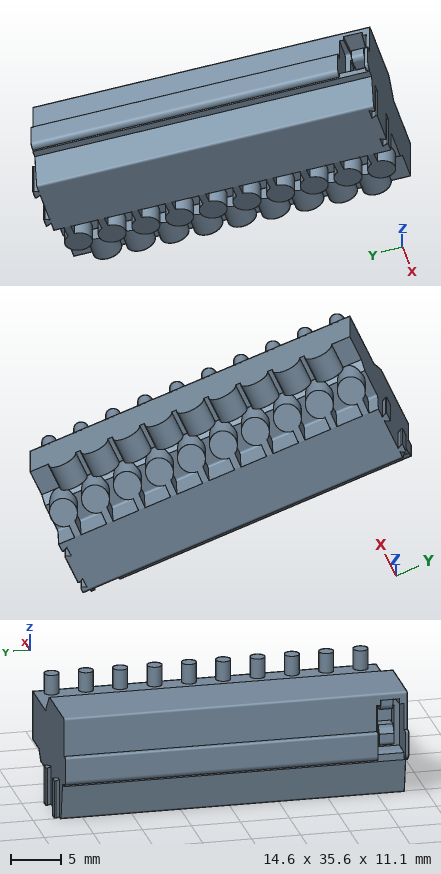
import cadquery as cq


width = 14.6
total_length = 35.58
height = 11.1
rib_height = 0.57
body_length = total_length - rib_height

pole_count = 10
pole_pitch = body_length / pole_count

tower_left = 0.65
slope_top_x = 7.2
slope_bottom_x = 8.9
deck_z = 9.05
shelf_z = 3.95
rail_top = 7.15
rail_bottom = 4.15
skirt_left_top = 1.3
skirt_left_bottom = 2.0
skirt_right = 7.83
skirt_right_top = 8.0
undercut_z = 2.9
undercut_end_x = 11.03
shelf_start_x = 11.85
top_round = 0.2
slope_round = 0.43
rail_top_round = 0.18
rail_bottom_round = 0.55
skirt_round = 0.25

pin_diameter = 1.5

barrel_radius = 1.5
barrel_bottom = 2.28
post_radius = 1.4
post_bottom_z = 1.1
post_x = shelf_start_x - post_radius
web_thickness = 0.7

dovetail_xs = (2.9, 6.65)
rib_tip_width = 0.9
rib_root_width = 0.45
rib_tip_land = 0.15
groove_mouth_width = 0.75
groove_neck_width = 0.55
groove_floor_width = 1.0
groove_depth = 0.6
groove_chamfer = 0.1

window_y = (0.35, 3.13)
window_center_y = sum(window_y) / 2
window_floor_x = 2.67
sill_z = 4.7
sill_break_x = 1.4
sill_back_z = 4.75
window_top = 9.9
window_top_round = 0.3
notch_width = 1.92
notch_top = 10.42
notch_taper = 4.5

slot_width = 1.7
slot_bottom = 6.35
slot_top = 9.05
slot_depth = 1.05
contact_height = 0.43
pad_round = 0.4
tongue_width = 1.28
tongue_bottom = 8.68
tongue_top = 9.95
tongue_round = 0.57
pad_width = 1.5
pad_bottom = 4.95
pad_slope_start = 6.23
pad_slope_end = 6.75
pad_top = 7.08
pad_step = 0.1


def extrude_section(outline, y_start, y_end):
    """Extrude a closed XZ workplane outline from y_start to y_end."""
    return outline.extrude(y_start - y_end).translate((0, y_start, 0))


def section(points):
    """Closed XZ outline through the given points."""
    return cq.Workplane("XZ").polyline(points).close()


def block(x_range, y_range, z_range):
    """Box between the given limits on each axis."""
    size = [high - low for low, high in (x_range, y_range, z_range)]
    return cq.Workplane("XY").box(*size, centered=False).translate((x_range[0], y_range[0], z_range[0]))


def centered_range(middle, size):
    """Limits of a span of the given size about its middle."""
    return (middle - size / 2, middle + size / 2)


def make_body():
    """Main section with the tower, the deck and the tapered skirt."""
    outline = section([
        (tower_left, height),
        (slope_top_x, height),
        (slope_bottom_x, deck_z),
        (width, deck_z),
        (width, shelf_z),
        (shelf_start_x, shelf_z),
        (undercut_end_x, undercut_z),
        (skirt_right_top, undercut_z),
        (skirt_right, 0),
        (skirt_left_bottom, 0),
        (skirt_left_top, shelf_z),
        (tower_left, shelf_z),
    ])
    body = extrude_section(outline, 0, body_length)
    rounds = (
        (tower_left, height, top_round),
        (slope_top_x, height, slope_round),
        (skirt_left_bottom, 0, skirt_round),
        (skirt_right_top, undercut_z, skirt_round),
    )
    for x, z, radius in rounds:
        body = body.edges(cq.NearestToPointSelector((x, body_length / 2, z))).fillet(radius)
    return body


def make_rail():
    """Rounded rail along the left side, cut away at the window."""
    rail = block((0, tower_left), (0, body_length), (rail_bottom, rail_top))
    rail = rail.edges("|Y and <X and >Z").fillet(rail_top_round)
    rail = rail.edges("|Y and <X and <Z").fillet(rail_bottom_round)
    return rail.cut(block((0, tower_left), window_y, (rail_bottom, rail_top)))


def make_pole(y):
    """Deck pin, and the post below it joined to the skirt by a web, for the pole centred on y."""
    pin = (
        cq.Workplane("XY", origin=(width - pin_diameter / 2, y, deck_z))
        .circle(pin_diameter / 2)
        .extrude(height - deck_z)
    )
    post = cq.Workplane("XY", origin=(post_x, y, 0)).circle(post_radius).extrude(shelf_z)
    web = block((skirt_right, post_x), (y, y + web_thickness), (0, undercut_z))
    sloped_end = extrude_section(
        section([
            (skirt_right, 0),
            (shelf_start_x, post_bottom_z),
            (shelf_start_x, deck_z),
            (skirt_right, deck_z),
        ]),
        0,
        body_length,
    )
    return pin.union(post.union(web).intersect(sloped_end))


def make_barrel(y):
    """Half-round boss along X under the shelf, centred on y."""
    barrel_axis_z = barrel_bottom + barrel_radius
    return (
        cq.Workplane("YZ", origin=(shelf_start_x, y, barrel_axis_z))
        .moveTo(-barrel_radius, shelf_z - barrel_axis_z)
        .lineTo(-barrel_radius, 0)
        .threePointArc((0, -barrel_radius), (barrel_radius, 0))
        .lineTo(barrel_radius, shelf_z - barrel_axis_z)
        .close()
        .extrude(width - shelf_start_x)
    )


def make_rib(x):
    """Dovetail rib standing on the far end face of the skirt."""
    root = rib_root_width / 2
    tip = rib_tip_width / 2
    land_y = total_length - rib_tip_land
    right_half = [(root, body_length), (tip, land_y), (tip, total_length)]
    left_half = [(-dx, y) for dx, y in reversed(right_half)]
    return cq.Workplane("XY").polyline(right_half + left_half).close().extrude(shelf_z).translate((x, 0, 0))


def make_groove(x):
    """Dovetail groove with a chamfered mouth in the near end face of the skirt."""
    right_half = [
        (groove_mouth_width / 2, 0),
        (groove_neck_width / 2, groove_chamfer),
        (groove_floor_width / 2, groove_depth),
    ]
    left_half = [(-dx, y) for dx, y in reversed(right_half)]
    return cq.Workplane("XY").polyline(right_half + left_half).close().extrude(shelf_z).translate((x, 0, 0))


def make_window():
    """Window cavity with its sill, raised top notch and contact slot."""
    cavity = extrude_section(
        section([
            (tower_left, sill_z),
            (sill_break_x, sill_back_z),
            (window_floor_x, sill_back_z),
            (window_floor_x, window_top),
            (tower_left, window_top),
        ]),
        *window_y,
    )
    cavity = cavity.edges("|Y and >X and >Z").fillet(window_top_round)
    notch = (
        cq.Workplane("YZ", origin=(tower_left, window_center_y, (tongue_bottom + notch_top) / 2))
        .rect(notch_width, notch_top - tongue_bottom)
        .extrude(window_floor_x - tower_left, taper=notch_taper)
    )
    slot = block(
        (window_floor_x, window_floor_x + slot_depth),
        centered_range(window_center_y, slot_width),
        (slot_bottom, slot_top),
    )
    return cavity.union(notch).union(slot)


def make_contact():
    """Spring tongue and contact pad standing proud of the window floor."""
    front_x = window_floor_x - contact_height
    back_x = window_floor_x + slot_depth
    tongue = block(
        (front_x, back_x),
        centered_range(window_center_y, tongue_width),
        (tongue_bottom, tongue_top),
    )
    tongue = tongue.edges("|Y and <X and <Z").fillet(tongue_round)
    pad_outline = section([
        (back_x, pad_bottom),
        (front_x, pad_bottom),
        (front_x, pad_slope_start),
        (window_floor_x - pad_step, pad_slope_end),
        (window_floor_x, pad_top),
        (back_x, pad_top),
    ])
    pad = extrude_section(pad_outline, *centered_range(window_center_y, pad_width))
    pad = pad.edges("|Y and <X and <Z").fillet(pad_round)
    return tongue.union(pad)


result = make_body().union(make_rail())
for pole in range(pole_count):
    result = result.union(make_pole((pole + 0.5) * pole_pitch))
for gap in range(1, pole_count):
    result = result.union(make_barrel(gap * pole_pitch))
for dovetail_x in dovetail_xs:
    result = result.union(make_rib(dovetail_x)).cut(make_groove(dovetail_x))
result = result.cut(make_window()).union(make_contact())